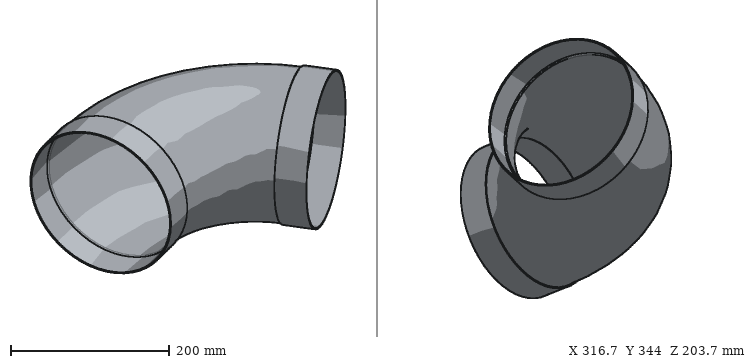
import cadquery as cq
import math

overall_length = 344.0
bend_angle = 75.0
pipe_diameter = 200.0
collar_diameter = 203.7
wall_thickness = 1.9

bend_radius = pipe_diameter
pipe_radius = pipe_diameter / 2
bore_radius = pipe_radius - wall_thickness
collar_radius = collar_diameter / 2
socket_radius = collar_radius - wall_thickness
angle = math.radians(bend_angle)

bend_rise = bend_radius * math.sin(angle)
collar_rim_rise = collar_radius * math.sin(angle)
collar_length = (overall_length - bend_rise - collar_rim_rise) / (1 + math.cos(angle))

inlet_plane = cq.Plane(origin=(0, 0, 0), xDir=(1, 0, 0), normal=(0, -1, 0))
outlet_plane = cq.Plane(
    origin=(bend_radius * (1 - math.cos(angle)), bend_rise, 0),
    xDir=(0, 0, 1),
    normal=(math.sin(angle), math.cos(angle), 0),
)


def bend(radius):
    """Solid torus segment turning about an axis parallel to Z."""
    return (
        cq.Workplane("XZ")
        .circle(radius)
        .revolve(bend_angle, (bend_radius, 3.5, 0), (bend_radius, 0, 0))
    )


def collar_blank():
    """Solid collar along Z, starting where the bend ends."""
    return cq.Workplane("XY").circle(collar_radius).extrude(collar_length)


def collar_cavity():
    """Socket along Z with a rounded lip leading from the pipe bore to the socket wall."""
    lip_offset = wall_thickness * math.sqrt(0.5)
    return (
        cq.Workplane("XZ")
        .lineTo(bore_radius, 0)
        .threePointArc(
            (socket_radius - lip_offset, lip_offset),
            (socket_radius, wall_thickness),
        )
        .lineTo(socket_radius, collar_length)
        .lineTo(0, collar_length)
        .close()
        .revolve(360, (0, 0, 0), (0, 1, 0))
    )


def at_both_ends(shape):
    """Copies of a shape placed at the inlet and the outlet of the bend."""
    solid = shape.val()
    return [solid.moved(cq.Location(plane)) for plane in (inlet_plane, outlet_plane)]


outside = bend(pipe_radius)
for collar in at_both_ends(collar_blank()):
    outside = outside.union(cq.Workplane(collar))

result = outside.cut(bend(bore_radius))
for cavity in at_both_ends(collar_cavity()):
    result = result.cut(cq.Workplane(cavity))